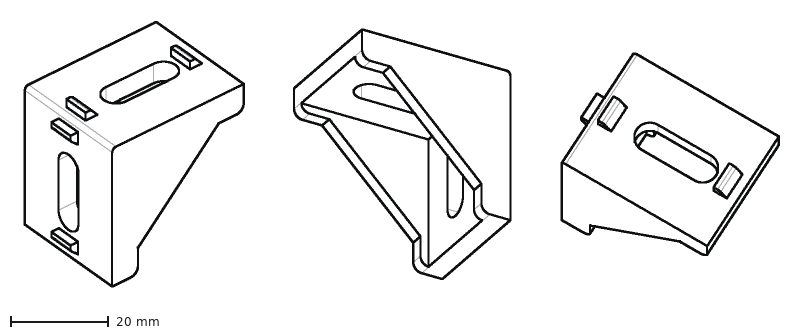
import cadquery as cq

overall = 37.0
width = 28.0
tab_height = 2.0
leg = overall - tab_height

leg_end_depth = 6.9
leg_end_length = 6.62
corner_radius = 1.0
end_radius = 2.0

plate_thickness = 5.0
side_wall = 3.0

slot_width = 6.35
slot_length = 19.05
slot_center = 18.95

tab_width = 6.15
tab_length = 3.2
tab_flat = 1.4
tab_radius = 1.0
first_tab = 2.0
tab_spacing = 27.8
tab_positions = [first_tab, first_tab + tab_spacing]


def extrude_across(profile, span):
    """Extrude a YZ profile symmetrically about the middle of the part."""
    return profile.extrude(span / 2, both=True)


def swap_legs(shape):
    """Mirror a feature of the top plate onto the front plate (Y and -Z swap)."""
    return shape.rotate((0, 0, 0), (1, 0, 0), 90).mirror("XY")


def make_body():
    profile = cq.Workplane("YZ").polyline([
        (0, 0),
        (leg, 0),
        (leg, -leg_end_depth),
        (leg - leg_end_length, -leg_end_depth),
        (leg_end_depth, leg_end_length - leg),
        (leg_end_depth, -leg),
        (0, -leg),
    ]).close()
    body = extrude_across(profile, width)
    corner = cq.selectors.NearestToPointSelector((0, 0, 0))
    body = body.edges(corner).fillet(corner_radius)
    for end_edge in [(0, leg, -leg_end_depth), (0, leg_end_depth, -leg)]:
        body = body.edges(cq.selectors.NearestToPointSelector(end_edge)).fillet(end_radius)
    return body


def make_hollow():
    hollow = cq.Workplane("YZ").rect(leg, -leg, centered=False)
    hollow = extrude_across(hollow, width - 2 * side_wall)
    return hollow.translate((0, plate_thickness, -plate_thickness))


def make_slot():
    slot = cq.Workplane("XY").center(0, slot_center).slot2D(slot_length, slot_width, 90)
    return slot.extrude(-plate_thickness)


def make_tab(position):
    profile = cq.Workplane("YZ").polyline([
        (position, 0),
        (position, tab_height),
        (position + tab_flat, tab_height),
        (position + tab_length, 0),
    ]).close()
    tab = extrude_across(profile, tab_width)
    crest = cq.selectors.NearestToPointSelector((0, position + tab_flat, tab_height))
    return tab.edges(crest).fillet(tab_radius)


result = make_body().cut(make_hollow())

slot = make_slot()
result = result.cut(slot).cut(swap_legs(slot))

for position in tab_positions:
    tab = make_tab(position)
    result = result.union(tab).union(swap_legs(tab))